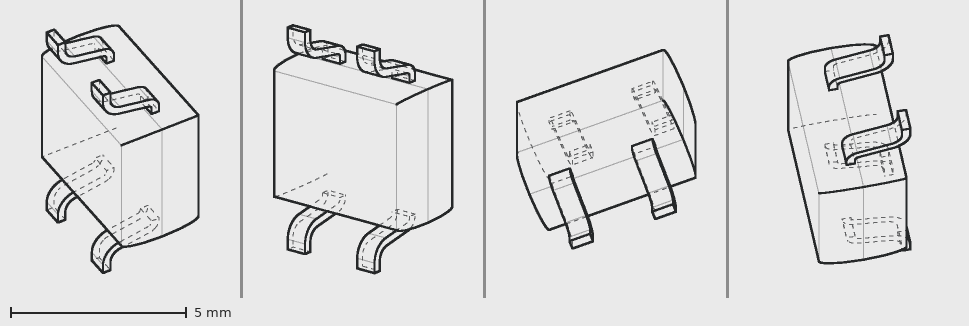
import cadquery as cq
import math

body_width = 4.7
body_depth = 2.55
body_height = 4.06
face_inset = 0.13
body_drop = 0.08

overall_height = 6.73
lead_width = 0.63
lead_thickness = 0.25
lead_pitch = 2.525
lead_pair_shift = 0.04
lead_slope = 10.0
foot_length = 0.31
stem_gap = 0.08
stem_embed = 0.67

body_top = body_height / 2 - body_drop
stem_bend_radius = lead_thickness
foot_bend_radius = 2 * lead_thickness


def make_barrel(plane, length, thickness):
    """Solid centred along the plane's normal, with elliptical ends meeting two flat faces."""
    half_depth = body_depth / 2
    half_length = length / 2
    flat = half_length - face_inset
    return (
        cq.Workplane(plane)
        .workplane(offset=-thickness / 2)
        .moveTo(-flat, -half_depth)
        .lineTo(flat, -half_depth)
        .ellipseArc(face_inset, half_depth, -90, 0, startAtCurrent=True)
        .ellipseArc(face_inset, half_depth, 0, 90, startAtCurrent=True)
        .lineTo(-flat, half_depth)
        .ellipseArc(face_inset, half_depth, 90, 180, startAtCurrent=True)
        .ellipseArc(face_inset, half_depth, 180, 270, startAtCurrent=True)
        .close()
        .extrude(thickness)
    )


def make_body():
    """Barrel outlines along X and along Z, intersected so the corners are mitred."""
    across = make_barrel("XY", body_width, body_height)
    zy_plane = cq.Plane(origin=(0, 0, 0), xDir=(0, 0, 1), normal=(-1, 0, 0))
    upright = make_barrel(zy_plane, body_height, body_width)
    return across.intersect(upright).translate((0, 0, -body_drop))


def make_lead(x):
    """Upper lead: stem, bend, sloping run, bend and foot, swept along its centreline."""
    slope = math.radians(lead_slope)
    bend_setback = math.tan((math.pi / 2 - slope) / 2)
    stem_setback = stem_bend_radius * bend_setback
    foot_setback = foot_bend_radius * bend_setback

    stem_y = stem_gap + lead_thickness / 2
    foot_y = -(body_depth + lead_thickness) / 2
    tip_z = overall_height / 2
    foot_corner_z = tip_z - foot_length - foot_setback
    stem_corner_z = foot_corner_z - (stem_y - foot_y) * math.tan(slope)

    run_start = (
        stem_y - stem_setback * math.cos(slope),
        stem_corner_z + stem_setback * math.sin(slope),
    )
    run_end = (
        foot_y + foot_setback * math.cos(slope),
        foot_corner_z - foot_setback * math.sin(slope),
    )
    stem_start_z = body_top - stem_embed
    centreline = (
        cq.Workplane("YZ", origin=(x, 0, 0))
        .moveTo(stem_y, stem_start_z)
        .lineTo(stem_y, stem_corner_z - stem_setback)
        .tangentArcPoint(run_start, relative=False)
        .lineTo(*run_end)
        .tangentArcPoint((foot_y, tip_z - foot_length), relative=False)
        .lineTo(foot_y, tip_z)
    )
    return (
        cq.Workplane("XY", origin=(x, stem_y, stem_start_z))
        .rect(lead_width, lead_thickness)
        .sweep(centreline)
    )


result = make_body()
for side in (-1, 1):
    upper_lead = make_lead(lead_pair_shift + side * lead_pitch / 2)
    lower_lead = upper_lead.mirror("XY")
    result = result.union(upper_lead).union(lower_lead)